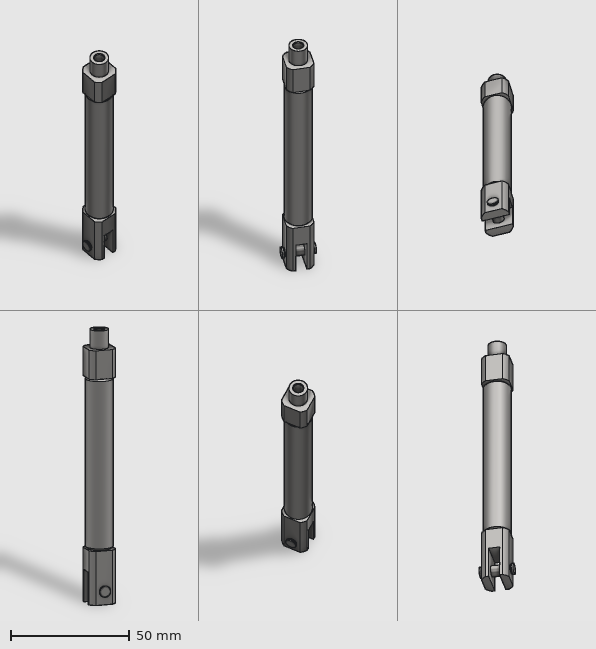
import cadquery as cq

total_length = 118.8
width = 12.0
corner_diameter = 14.1

fork_top = 23.5
slot_width = 4.8
slot_height = 14.0

tube_top = 98.2
bevel_height = 1.0
neck_diameter = 10.0

stud_diameter = 8.0
stud_length = 8.0
bore_diameter = 4.0
bore_mouth_diameter = 4.8
bore_depth = 12.0

pin_height = 6.0
pin_diameter = 4.9
pin_length = 15.0
pin_face_diameter = 4.0
pin_groove_diameter = 4.0
pin_head_thickness = 1.0
pin_bevel_height = 0.1

stud_bottom = total_length - stud_length


def block(bottom, top):
    """Square bar with its four corners rounded by a cylinder."""
    height = top - bottom
    base = cq.Workplane("XY").workplane(offset=bottom)
    square = base.rect(width, width).extrude(height)
    return square.intersect(base.circle(corner_diameter / 2).extrude(height))


def make_tube():
    """Round tube, bevelled at both ends where it meets the blocks."""
    profile = [
        (0, fork_top),
        (neck_diameter / 2, fork_top),
        (width / 2, fork_top + bevel_height),
        (width / 2, tube_top - bevel_height),
        (neck_diameter / 2, tube_top),
        (0, tube_top),
    ]
    return cq.Workplane("XZ").polyline(profile).close().revolve(360, (0, 0), (0, 1))


def make_fork():
    """Lower block with a slot along X, open at the bottom."""
    slot = cq.Workplane("XY").rect(width, slot_width).extrude(slot_height)
    return block(0, fork_top).cut(slot)


def make_bore():
    """Blind hole in the stud with a 45 degree countersunk mouth."""
    mouth_depth = (bore_mouth_diameter - bore_diameter) / 2
    bore_bottom = total_length - bore_depth
    profile = [
        (0, bore_bottom),
        (bore_diameter / 2, bore_bottom),
        (bore_diameter / 2, total_length - mouth_depth),
        (bore_mouth_diameter / 2, total_length),
        (0, total_length),
    ]
    return cq.Workplane("XZ").polyline(profile).close().revolve(360, (0, 0), (0, 1))


def make_pin():
    """Cross pin along Y with a bevelled head and a groove at each end."""
    half_length = pin_length / 2
    head_inner = half_length - pin_head_thickness
    radius = pin_diameter / 2
    groove_radius = pin_groove_diameter / 2
    body_end = width / 2
    half_profile = [
        (radius, body_end),
        (groove_radius, body_end),
        (groove_radius, head_inner),
        (radius, head_inner),
        (radius, half_length - pin_bevel_height),
        (pin_face_diameter / 2, half_length),
        (0, half_length),
    ]
    mirrored = [(x, -y) for x, y in reversed(half_profile)]
    outline = cq.Workplane("XY").polyline(half_profile + mirrored).close()
    return outline.revolve(360, (0, 0), (0, 1)).translate((0, 0, pin_height))


stud_base = cq.Workplane("XY").workplane(offset=stud_bottom)
stud = stud_base.circle(stud_diameter / 2).extrude(stud_length)

result = (
    make_fork()
    .union(make_tube())
    .union(block(tube_top, stud_bottom))
    .union(stud)
    .cut(make_bore())
    .union(make_pin())
)